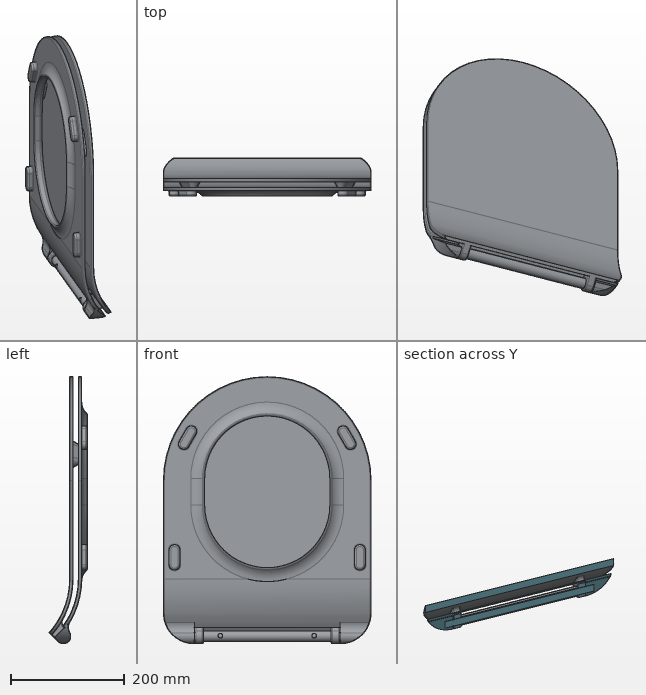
import cadquery as cq
import math


WIDTH = 365.0
TOP_Z = 456.41
PLATE_THICKNESS = 6.0
LID_FRONT_Y = -17.05
SEAT_FRONT_Y = -32.3
BEND_START_Z = 100.5
BEND_INNER_RADIUS = 141.0
BEND_OUTER_RADIUS = BEND_INNER_RADIUS + PLATE_THICKNESS
LID_BEND_ANGLE = 45.0
SEAT_BEND_ANGLE = 36.0
EDGE_ROUND = 1.5
LID_BACK_ROUND = 0.8
HALF_WIDTH = WIDTH / 2
ARCH_CENTRE_Z = TOP_Z - HALF_WIDTH

KNUCKLE_RADIUS = 13.0
SEAT_KNUCKLE_DEPTH = 9.5
SEAT_KNUCKLE_END_X = 128.2
KNUCKLE_BLEND_START_Z = 24.4
KNUCKLE_BLEND_END_Z = 6.1
KNUCKLE_BLEND_SAGITTA = 2.4
SEAT_NOTCH_CLEARANCE = 1.1
LID_KNUCKLE_GAP = 0.5
LID_KNUCKLE_INNER_X = 112.5
LID_KNUCKLE_DEPTH = 20.0
LID_KNUCKLE_ROUND = 2.0
LID_BLEND_START_Z = 30.0
LID_BLEND_END_ALONG = 12.4
LID_BLEND_SAGITTA = 2.1
HINGE_TILT = 45.0
TUBE_RADIUS = 9.5
ROD_RADIUS = 6.7
ROD_HALF_LENGTH = SEAT_KNUCKLE_END_X + 15.0
MOUNT_HOLE_DIAMETER = 8.0
MOUNT_HOLE_X = 82.4
MOUNT_HOLE_Z = 1.0

SEAT_CORNER_RADIUS = 54.0
SEAT_CORNER_BOTTOM_Z = -KNUCKLE_RADIUS
LID_CORNER_RADIUS = 45.0
LID_CORNER_BOTTOM_Z = -4.0

RING_TIP_Y = -42.1
RING_CENTRE_Z = 254.0
RING_CENTRE_SPACING = 46.7
RING_BASE_RADIUS = 134.5
RING_TIP_RADIUS = 113.5
OPENING_RADIUS = 110.0
OPENING_ROUND = 1.8
OPENING_BACK_ROUND = 5.5

BUMPER_SPACING = 25.8
SEAT_BUMPER_WIDTH = 19.0
SEAT_BUMPER_TOP_ROUND = 3.2
SEAT_BUMPER_ROOT_ROUND = 1.3
SEAT_BUMPERS = [(163.0, 138.8, 0.0), (140.0, 349.2, 30.0)]
LID_BUMPER = (136.5, 320.0, 30.0)
LID_BUMPER_WIDTH = 24.0
LID_BUMPER_TAPER = 30.0

SPACE = 1000.0


def bent_profile(front_y, bend_angle):
    """Side section of a plate: straight down, then curving back around the bend."""
    back_y = front_y + PLATE_THICKNESS
    bend_centre_y = back_y + BEND_INNER_RADIUS

    def bend_point(radius, angle):
        turn = math.radians(angle)
        return (bend_centre_y - radius * math.cos(turn), BEND_START_Z - radius * math.sin(turn))

    half_angle = bend_angle / 2
    return (
        cq.Workplane("YZ")
        .moveTo(front_y, TOP_Z)
        .lineTo(front_y, BEND_START_Z)
        .threePointArc(bend_point(BEND_OUTER_RADIUS, half_angle), bend_point(BEND_OUTER_RADIUS, bend_angle))
        .lineTo(*bend_point(BEND_INNER_RADIUS, bend_angle))
        .threePointArc(bend_point(BEND_INNER_RADIUS, half_angle), (back_y, BEND_START_Z))
        .lineTo(back_y, TOP_Z)
        .close()
    )


def outline_prism(corner_radius, bottom_z):
    """Arched outline with rounded lower corners, run through in Y."""
    corner_x = HALF_WIDTH - corner_radius
    corner_z = bottom_z + corner_radius
    diagonal = corner_radius * math.sqrt(0.5)
    return (
        cq.Workplane("XZ")
        .moveTo(-HALF_WIDTH, ARCH_CENTRE_Z)
        .threePointArc((0, TOP_Z), (HALF_WIDTH, ARCH_CENTRE_Z))
        .lineTo(HALF_WIDTH, corner_z)
        .threePointArc((corner_x + diagonal, corner_z - diagonal), (corner_x, bottom_z))
        .lineTo(-corner_x, bottom_z)
        .threePointArc((-corner_x - diagonal, corner_z - diagonal), (-HALF_WIDTH, corner_z))
        .close()
        .extrude(SPACE / 2, both=True)
    )


def both_sides(body):
    return body.union(body.mirror("YZ"))


def hinge_space(along_min, along_max, across_min, across_max, half_length):
    """Block in the tilted hinge frame: 'along' points from the axis to the lid, 'across' up."""
    along_size = along_max - along_min
    across_size = across_max - across_min
    return (
        cq.Workplane("XY")
        .box(2 * half_length, along_size, across_size)
        .translate((0, (along_min + along_max) / 2, (across_min + across_max) / 2))
        .rotate((0, 0, 0), (1, 0, 0), HINGE_TILT)
    )


def cylinder_x(radius, half_length):
    return cq.Workplane("YZ").circle(radius).extrude(half_length, both=True)


def hinge_point(along, across):
    tilt = math.radians(HINGE_TILT)
    return (
        along * math.cos(tilt) - across * math.sin(tilt),
        along * math.sin(tilt) + across * math.cos(tilt),
    )


def bumper(x, z, lean, width, front_y, height, taper=0.0):
    """Oblong pad on a plate face at front_y, standing out towards -Y."""
    return (
        cq.Workplane("XZ", origin=(x, front_y, z))
        .slot2D(BUMPER_SPACING + width, width, 90 + lean)
        .extrude(height, taper=taper)
    )


def round_plate_edge(plate, face_y, radius):
    """Round the outer edge of the flat and bent faces that start at face_y."""
    face = plate.faces(cq.selectors.NearestToPointSelector((0, face_y, ARCH_CENTRE_Z)))
    return face.edges("not #Z").fillet(radius)


def bend_face_y(front_y, z):
    """Y of the outer bend face of a plate at height z."""
    drop = BEND_START_Z - z
    return front_y + BEND_OUTER_RADIUS - math.sqrt(BEND_OUTER_RADIUS**2 - drop**2)


def make_lid_knuckle():
    """Barrel bearing that stands out from the bent end of the lid."""
    blend_start = (bend_face_y(LID_FRONT_Y, LID_BLEND_START_Z), LID_BLEND_START_Z)
    blend_end = hinge_point(LID_BLEND_END_ALONG, KNUCKLE_RADIUS)
    blend_mid = (
        (blend_start[0] + blend_end[0]) / 2 + LID_BLEND_SAGITTA,
        (blend_start[1] + blend_end[1]) / 2,
    )
    outer_x = SEAT_KNUCKLE_END_X - LID_KNUCKLE_GAP
    knuckle = (
        cq.Workplane("YZ", origin=(LID_KNUCKLE_INNER_X, 0, 0))
        .moveTo(*hinge_point(LID_KNUCKLE_DEPTH, -KNUCKLE_RADIUS))
        .lineTo(*hinge_point(0, -KNUCKLE_RADIUS))
        .threePointArc(hinge_point(-KNUCKLE_RADIUS, 0), hinge_point(0, KNUCKLE_RADIUS))
        .lineTo(*blend_end)
        .threePointArc(blend_mid, blend_start)
        .lineTo(blend_start[0] + PLATE_THICKNESS / 2, blend_start[1])
        .close()
        .extrude(outer_x - LID_KNUCKLE_INNER_X)
    )
    return knuckle.faces("<X or >X").edges("%CIRCLE").fillet(LID_KNUCKLE_ROUND)


def make_lid():
    plate = bent_profile(LID_FRONT_Y, LID_BEND_ANGLE).extrude(HALF_WIDTH, both=True)
    plate = plate.intersect(outline_prism(LID_CORNER_RADIUS, LID_CORNER_BOTTOM_Z))
    plate = plate.cut(hinge_space(-SPACE, SPACE, -SPACE, -KNUCKLE_RADIUS, SPACE))
    plate = round_plate_edge(plate, LID_FRONT_Y, EDGE_ROUND)
    plate = round_plate_edge(plate, LID_FRONT_Y + PLATE_THICKNESS, LID_BACK_ROUND)
    lid = plate.union(both_sides(make_lid_knuckle()))

    x, z, lean = LID_BUMPER
    gap = LID_FRONT_Y - (SEAT_FRONT_Y + PLATE_THICKNESS)
    pad = bumper(x, z, lean, LID_BUMPER_WIDTH, LID_FRONT_Y, gap, LID_BUMPER_TAPER)
    lid = lid.union(both_sides(pad))
    return lid.cut(cylinder_x(ROD_RADIUS, ROD_HALF_LENGTH))


def ring_section():
    """Half section of the raised ring: flat tip with a concave flank down to the plate."""
    height = SEAT_FRONT_Y - RING_TIP_Y
    run = RING_BASE_RADIUS - RING_TIP_RADIUS
    flank_radius = (run**2 + height**2) / (2 * height)
    half_sweep = math.asin(run / flank_radius) / 2
    flank_mid = (
        RING_BASE_RADIUS - flank_radius * math.sin(half_sweep),
        SEAT_FRONT_Y - flank_radius * (1 - math.cos(half_sweep)),
    )
    root_y = SEAT_FRONT_Y + PLATE_THICKNESS / 2
    return (
        cq.Workplane("XY")
        .moveTo(0, root_y)
        .lineTo(RING_BASE_RADIUS, root_y)
        .lineTo(RING_BASE_RADIUS, SEAT_FRONT_Y)
        .threePointArc(flank_mid, (RING_TIP_RADIUS, RING_TIP_Y))
        .lineTo(0, RING_TIP_Y)
        .close()
    )


def make_ring():
    """Raised ring with straight sides and round ends, before the opening is cut."""
    half_spacing = RING_CENTRE_SPACING / 2
    ring = both_sides(ring_section().extrude(half_spacing, both=True))
    round_end = ring_section().revolve(360, (0, 0, 0), (0, 1, 0))
    for end_z in (-half_spacing, half_spacing):
        ring = ring.union(round_end.translate((0, 0, end_z)))
    return ring.translate((0, 0, RING_CENTRE_Z))


def make_seat_knuckle():
    """Barrel at one end of the hinge, blended into the front of the bent plate."""
    blend_start_y = bend_face_y(SEAT_FRONT_Y, KNUCKLE_BLEND_START_Z)
    blend_end_y = -math.sqrt(KNUCKLE_RADIUS**2 - KNUCKLE_BLEND_END_Z**2)
    blend_mid_y = (blend_start_y + blend_end_y) / 2 + KNUCKLE_BLEND_SAGITTA
    blend_mid_z = (KNUCKLE_BLEND_START_Z + KNUCKLE_BLEND_END_Z) / 2
    return (
        cq.Workplane("YZ", origin=(SEAT_KNUCKLE_END_X, 0, 0))
        .moveTo(blend_start_y, KNUCKLE_BLEND_START_Z)
        .threePointArc((blend_mid_y, blend_mid_z), (blend_end_y, KNUCKLE_BLEND_END_Z))
        .threePointArc(hinge_point(-KNUCKLE_RADIUS, 0), hinge_point(0, -KNUCKLE_RADIUS))
        .lineTo(*hinge_point(SEAT_KNUCKLE_DEPTH, -KNUCKLE_RADIUS))
        .lineTo(*hinge_point(SEAT_KNUCKLE_DEPTH, KNUCKLE_RADIUS))
        .close()
        .extrude(HALF_WIDTH - SEAT_KNUCKLE_END_X)
    )


def make_opening():
    """Cutter for the seat opening."""
    return (
        cq.Workplane("XZ", origin=(0, RING_TIP_Y, RING_CENTRE_Z))
        .slot2D(RING_CENTRE_SPACING + 2 * OPENING_RADIUS, 2 * OPENING_RADIUS, 90)
        .extrude(RING_TIP_Y - SEAT_FRONT_Y - PLATE_THICKNESS)
    )


def round_edges_at(body, x, y, z, reach, radius):
    """Round the edges that lie in the plane y within reach of (x, z)."""
    margin = EDGE_ROUND / 2
    box = cq.selectors.BoxSelector(
        (x - reach, y - margin, z - reach), (x + reach, y + margin, z + reach), boundingbox=True
    )
    return body.edges(box).fillet(radius)


def make_seat():
    outline = outline_prism(SEAT_CORNER_RADIUS, SEAT_CORNER_BOTTOM_Z)
    back_y = SEAT_FRONT_Y + PLATE_THICKNESS
    plate = bent_profile(SEAT_FRONT_Y, SEAT_BEND_ANGLE).extrude(HALF_WIDTH, both=True).intersect(outline)
    plate = round_plate_edge(plate, SEAT_FRONT_Y, EDGE_ROUND)
    plate = round_plate_edge(plate, back_y, EDGE_ROUND)
    notch_top = KNUCKLE_RADIUS + SEAT_NOTCH_CLEARANCE
    plate = plate.cut(hinge_space(-SPACE, SPACE, -SPACE, notch_top, SEAT_KNUCKLE_END_X))

    seat = plate.union(make_ring()).cut(make_opening())
    opening_reach = OPENING_RADIUS + RING_CENTRE_SPACING / 2 + 1
    seat = round_edges_at(seat, 0, RING_TIP_Y, RING_CENTRE_Z, opening_reach, OPENING_ROUND)
    seat = round_edges_at(seat, 0, back_y, RING_CENTRE_Z, opening_reach, OPENING_BACK_ROUND)

    bumper_height = SEAT_FRONT_Y - RING_TIP_Y
    bumper_reach = BUMPER_SPACING / 2 + SEAT_BUMPER_WIDTH
    for x, z, lean in SEAT_BUMPERS:
        pad = bumper(x, z, lean, SEAT_BUMPER_WIDTH, SEAT_FRONT_Y, bumper_height)
        seat = seat.union(both_sides(pad.faces("<Y").edges().fillet(SEAT_BUMPER_TOP_ROUND)))
        for side_x in (-x, x):
            seat = round_edges_at(seat, side_x, SEAT_FRONT_Y, z, bumper_reach, SEAT_BUMPER_ROOT_ROUND)

    seat = seat.union(both_sides(make_seat_knuckle().intersect(outline)))
    return seat.cut(cylinder_x(ROD_RADIUS, ROD_HALF_LENGTH))


def make_hinge_tube():
    tube = cylinder_x(TUBE_RADIUS, LID_KNUCKLE_INNER_X).cut(cylinder_x(ROD_RADIUS, LID_KNUCKLE_INNER_X))
    holes = (
        cq.Workplane("XZ")
        .pushPoints([(-MOUNT_HOLE_X, MOUNT_HOLE_Z), (MOUNT_HOLE_X, MOUNT_HOLE_Z)])
        .circle(MOUNT_HOLE_DIAMETER / 2)
        .extrude(KNUCKLE_RADIUS)
    )
    return tube.cut(holes)


def make_hinge_rod():
    return cylinder_x(ROD_RADIUS, ROD_HALF_LENGTH)


lid = make_lid()
seat = make_seat()
hinge_tube = make_hinge_tube()
hinge_rod = make_hinge_rod()

result = cq.Compound.makeCompound([lid.val(), seat.val(), hinge_tube.val(), hinge_rod.val()])